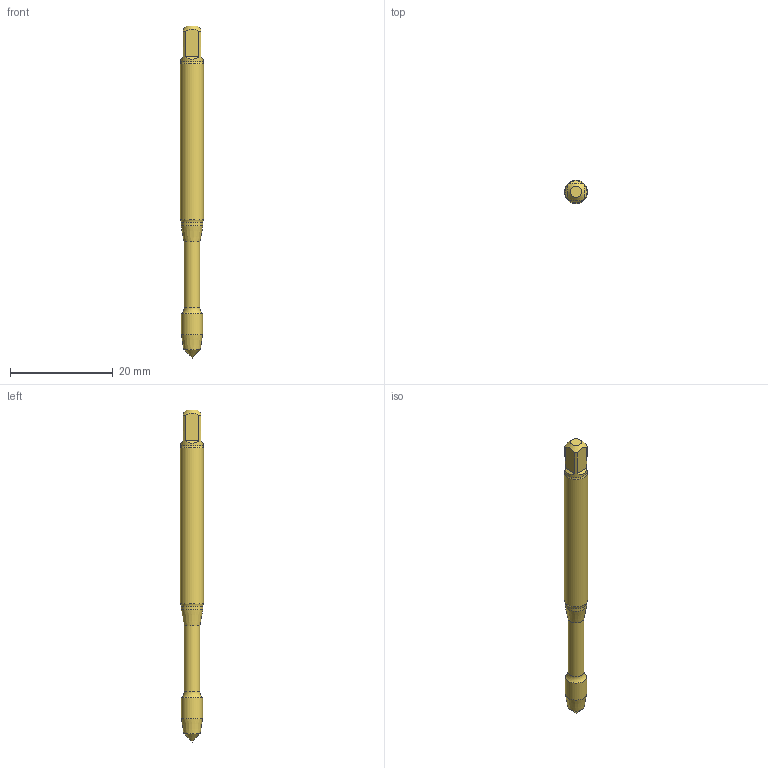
import cadquery as cq
import math


body_length = 63.0

thread_radius = 4.11 / 2
thread_length = 7.0
lead_length = 2.95
point_radius = 1.6
point_height = point_radius

neck_radius = 3.1 / 2
neck_top = 21.0
runout_height = 1.2

collar_radius = 4.2 / 2
shoulder_angle = 10.0
shoulder_height = (collar_radius - neck_radius) / math.tan(math.radians(shoulder_angle))
collar_bottom = neck_top + shoulder_height
collar_height = 0.6
shank_blend_height = 0.6

shank_radius = 4.5 / 2
shank_bottom = collar_bottom + collar_height + shank_blend_height
shank_top = body_length - 7.35
drive_blend_height = 0.4

drive_radius = 4.3 / 2
drive_flat_distance = 3.4 / 2
drive_length = 6.0
drive_tip_radius = 1.1
drive_chamfer = drive_radius - drive_tip_radius


def revolve_about_axis(half_profile):
    """Turn a closed half profile, drawn as (radius, z), into a solid of revolution about Z."""
    return half_profile.close().revolve(360, (0, 0, 0), (0, 1, 0))


def make_threading_head():
    """Thread cylinder with its lead taper and conical centre point."""
    half_profile = (
        cq.Workplane("XZ")
        .moveTo(0, -point_height)
        .lineTo(point_radius, 0)
        .lineTo(thread_radius, lead_length)
        .lineTo(thread_radius, thread_length)
        .lineTo(0, thread_length)
    )
    return revolve_about_axis(half_profile)


def blend_middle(inner_radius, outer_radius, tangent_z, outer_z):
    """Middle point (radius, z) of a concave arc that leaves the inner cylinder tangentially."""
    rise = outer_radius - inner_radius
    height = outer_z - tangent_z
    arc_radius = (rise**2 + height**2) / (2 * rise)
    half_angle = math.asin(height / arc_radius) / 2
    middle_radius = inner_radius + arc_radius * (1 - math.cos(half_angle))
    middle_z = tangent_z + arc_radius * math.sin(half_angle)
    return (middle_radius, middle_z)


def make_round_shank():
    """Thread run-out, neck, shoulder, shank and drive end, before the flats are cut."""
    collar_top = collar_bottom + collar_height
    runout_top = thread_length + runout_height
    drive_blend_top = shank_top + drive_blend_height
    drive_blend = blend_middle(drive_radius, shank_radius, drive_blend_top, shank_top)
    shank_blend = blend_middle(collar_radius, shank_radius, collar_top, shank_bottom)
    runout_blend = blend_middle(neck_radius, thread_radius, runout_top, thread_length)
    half_profile = (
        cq.Workplane("XZ")
        .moveTo(0, body_length)
        .lineTo(drive_tip_radius, body_length)
        .lineTo(drive_radius, body_length - drive_chamfer)
        .lineTo(drive_radius, drive_blend_top)
        .threePointArc(drive_blend, (shank_radius, shank_top))
        .lineTo(shank_radius, shank_bottom)
        .threePointArc(shank_blend, (collar_radius, collar_top))
        .lineTo(collar_radius, collar_bottom)
        .lineTo(neck_radius, neck_top)
        .lineTo(neck_radius, runout_top)
        .threePointArc(runout_blend, (thread_radius, thread_length))
        .lineTo(0, thread_length)
    )
    return revolve_about_axis(half_profile)


def make_flat_cutter():
    """Removes one flat on the +X side, running out at 45 degrees at its lower end."""
    cut_depth = shank_radius - drive_flat_distance
    flat_bottom = body_length - drive_length
    return (
        cq.Workplane("XZ")
        .moveTo(drive_flat_distance, body_length)
        .lineTo(drive_flat_distance, flat_bottom)
        .lineTo(shank_radius, flat_bottom - cut_depth)
        .lineTo(shank_radius, body_length)
        .close()
        .extrude(shank_radius, both=True)
    )


def make_shank():
    """Shank with four flats that form the square drive."""
    shank = make_round_shank()
    for quarter_turn in range(4):
        shank = shank.cut(make_flat_cutter().rotate((0, 0, 0), (0, 0, 1), 90 * quarter_turn))
    return shank


threading_head = make_threading_head()
shank = make_shank()

result = cq.Compound.makeCompound([threading_head.val(), *shank.vals()])